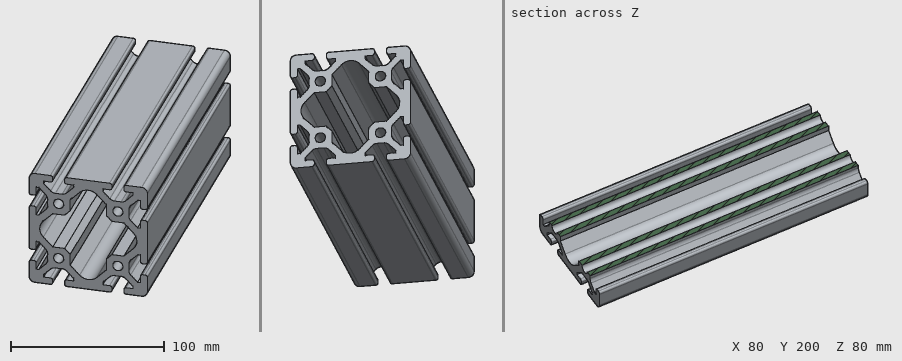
import cadquery as cq
import math

side = 80.0
length = 200.0
outer_corner_radius = 4.0
half_side = side / 2

slot_offset = half_side / 2
slot_opening = 8.0
slot_width = 20.2
lip_thickness = 4.8
lip_radius = 1.5
slot_wall_depth = 6.5
slot_depth = 12.5
slot_floor_radius = 4.5

hole_diameter = 6.8
boss_half_width = 7.8
boss_chamfer = 3.8
lobe_shoulder = 24.0
cavity_half_width = 32.8

SIN_45 = math.sin(math.pi / 4)


def extrude(profile):
    """Extrude a profile in the XZ plane along the full bar, centred on Y."""
    return profile.extrude(length / 2, both=True)


def on_four_faces(solid):
    """Repeat a solid on all four long faces of the bar."""
    copies = solid
    for quarter in range(1, 4):
        turned = solid.rotate((0, 0, 0), (0, 1, 0), 90 * quarter)
        copies = copies.union(turned)
    return copies


def make_blank():
    blank = cq.Workplane("XY").box(side, length, side)
    return blank.edges("|Y").fillet(outer_corner_radius)


def make_slot(center_x):
    """T-slot in the top face: narrow mouth, square shoulders, rounded funnel floor."""
    top = half_side
    mouth = slot_opening / 2
    wall = slot_width / 2
    lip_z = top - lip_thickness
    wall_z = top - slot_wall_depth
    floor_z = top - slot_depth

    arc_drop = slot_floor_radius * (1 - SIN_45)
    flank_run = slot_depth - slot_wall_depth - arc_drop
    flank_x = wall - flank_run
    floor_x = flank_x - slot_floor_radius * SIN_45
    flank_z = wall_z - flank_run
    mid_angle = math.pi / 8
    mid_x = floor_x + slot_floor_radius * math.sin(mid_angle)
    mid_z = floor_z + slot_floor_radius * (1 - math.cos(mid_angle))

    flare = mouth + lip_radius
    lip_mid = lip_radius * (1 - SIN_45)

    profile = (
        cq.Workplane("XZ", origin=(center_x, 0, 0))
        .moveTo(-flare, top)
        .threePointArc((-mouth - lip_mid, top - lip_mid), (-mouth, top - lip_radius))
        .lineTo(-mouth, lip_z + lip_radius)
        .threePointArc((-mouth - lip_mid, lip_z + lip_mid), (-flare, lip_z))
        .lineTo(-wall, lip_z)
        .lineTo(-wall, wall_z)
        .lineTo(-flank_x, flank_z)
        .threePointArc((-mid_x, mid_z), (-floor_x, floor_z))
        .lineTo(floor_x, floor_z)
        .threePointArc((mid_x, mid_z), (flank_x, flank_z))
        .lineTo(wall, wall_z)
        .lineTo(wall, lip_z)
        .lineTo(flare, lip_z)
        .threePointArc((mouth + lip_mid, lip_z + lip_mid), (mouth, lip_z + lip_radius))
        .lineTo(mouth, top - lip_radius)
        .threePointArc((mouth + lip_mid, top - lip_mid), (flare, top))
        .close()
    )
    return extrude(profile)


def make_cavity():
    """Four-lobed cavity whose lobes meet around the chamfered corner-hole bosses."""
    boss_near = slot_offset - boss_half_width
    chamfer_end = boss_near + boss_chamfer

    flank_sum = boss_near + lobe_shoulder
    lobe_radius = (flank_sum - cavity_half_width) * SIN_45 / (1 - SIN_45)
    lobe_x = lobe_radius * SIN_45
    lobe_z = flank_sum - lobe_x

    lobe = (
        cq.Workplane("XZ")
        .moveTo(0, 0)
        .lineTo(chamfer_end, boss_near)
        .lineTo(boss_near, chamfer_end)
        .lineTo(boss_near, lobe_shoulder)
        .lineTo(lobe_x, lobe_z)
        .threePointArc((0, cavity_half_width), (-lobe_x, lobe_z))
        .lineTo(-boss_near, lobe_shoulder)
        .lineTo(-boss_near, chamfer_end)
        .lineTo(-chamfer_end, boss_near)
        .close()
    )
    return on_four_faces(extrude(lobe))


def make_holes():
    """Through holes on the slot axes, one near each corner."""
    holes = (
        cq.Workplane("XZ")
        .rect(2 * slot_offset, 2 * slot_offset, forConstruction=True)
        .vertices()
        .circle(hole_diameter / 2)
    )
    return extrude(holes)


slot_pair = make_slot(-slot_offset).union(make_slot(slot_offset))

result = (
    make_blank()
    .cut(on_four_faces(slot_pair))
    .cut(make_cavity())
    .cut(make_holes())
)